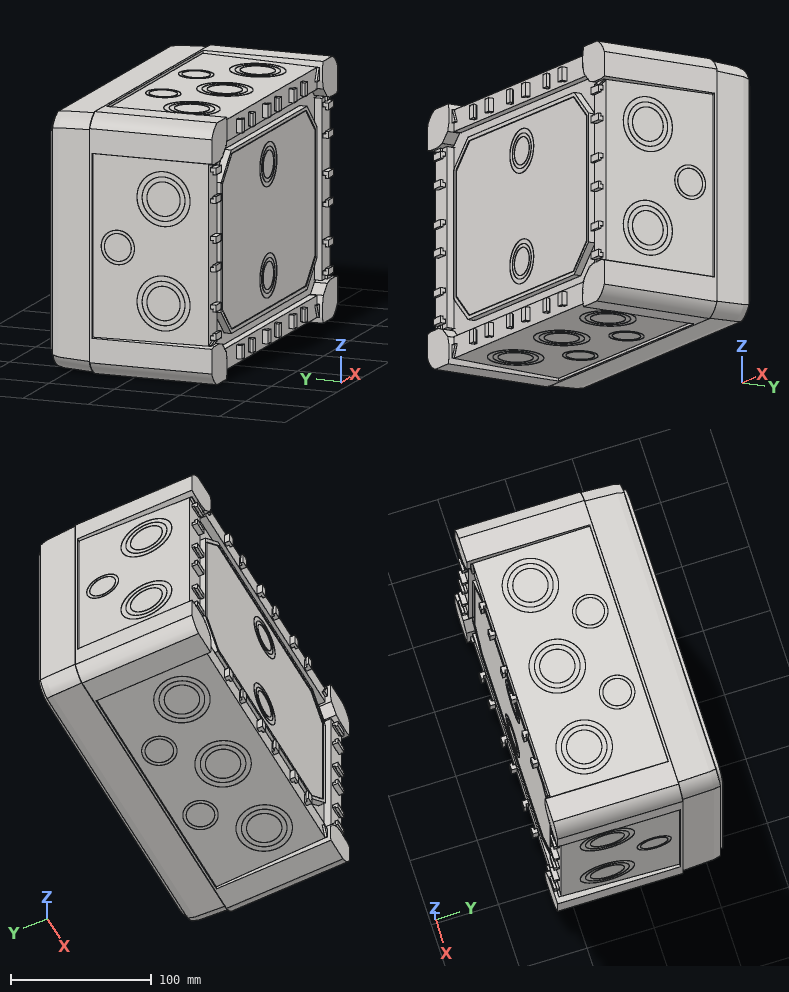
import cadquery as cq


LENGTH = 241.5
HEIGHT = 191.0
DEPTH = 125.5
HALF_LENGTH = LENGTH / 2
HALF_HEIGHT = HEIGHT / 2
CORNER_SIZE = 10.1
CORNER_INSET = 4.0

PANEL_BASE_Y = 4.0
FLOOR_Y = 10.0
PANEL_TOP_Y = 91.5
SEAM_Y = 93.5
LID_EDGE_Y = 117.5
LID_SHOULDER_Y = 122.5

FOOT_HALF_GAP_X = 91.3
FOOT_HALF_GAP_Z = 66.5
FOOT_FACET_LENGTH = 15.2
FOOT_FACET_OFFSET = 1.7
PLATE_HALF_X = 92.0
PLATE_HALF_Z = 67.0
PLATE_CHAMFER = 19.5
PLATE_RISE = 5.5
PLATE_RIM = 3.0
PLATE_POCKET = 0.7

PANEL_INNER_DEPTH = 20.3
PANEL_TOP_RECESS = 2.0
PANEL_BASE_RECESS = 4.3
PANEL_FLARE = 1.0
END_WEDGE_RISE = 1.7
END_WEDGE_LENGTH = 9.7
END_WEDGE_NARROW = 0.5
LONG_END_WEDGE_WIDE = 4.5
SHORT_END_WEDGE_WIDE = 3.1

TAB_PAIR_PITCH = 50.0
TAB_PAIR_HALF_SPACING = 10.5
TAB_WIDTH = 5.0
TAB_LENGTH = 10.0
TAB_STEM = 3.1
TAB_FOOT = 2.2
TAB_INNER_GAP = 2.2

KNOCKOUT_RISE = 0.2
KNOCKOUT_ROOT = 0.5
KNOCKOUT_GROOVE = 0.2
LARGE_KNOCKOUT = (20.0, 16.2, 12.5)
BASE_KNOCKOUT = (16.2, 12.8, 10.1)
SMALL_KNOCKOUT = (12.5, 10.1, 0.0)
LARGE_KNOCKOUT_Y = 38.2
SMALL_KNOCKOUT_Y = 72.7
LONG_SIDE_PITCH = 63.0
SHORT_SIDE_PITCH = 76.0
BASE_KNOCKOUT_Z = 40.5

LID_SHIFT_X = -0.7
LID_HALF_X = 119.8
LID_HALF_Z = 94.7
LID_EDGE_INSET = 1.0
LID_SHOULDER_INSET = 2.0
LID_TOP_INSET = 5.3
LID_TOP_CORNER = 14.5

LONG_SITE = (HALF_HEIGHT, FOOT_HALF_GAP_X, (0, 180))
SHORT_SITE = (HALF_LENGTH, FOOT_HALF_GAP_Z, (90, 270))
PANEL_SITES = (LONG_SITE, SHORT_SITE)


def base_plane(y):
    """Plane across Y at level y: local axes are -X and +Z, and extrusion runs toward +Y."""
    return cq.Workplane(cq.Plane(origin=(0, y, 0), xDir=(-1, 0, 0), normal=(0, 1, 0)))


def box(x_range, y_range, z_range):
    sizes = [high - low for low, high in (x_range, y_range, z_range)]
    return cq.Workplane("XY").box(*sizes, centered=False).translate((x_range[0], y_range[0], z_range[0]))


def rounded_outline(plane, half_x, half_z):
    """Rectangle with a shallow arc across each corner."""
    flat_x, flat_z = half_x - CORNER_SIZE, half_z - CORNER_SIZE
    arc_x, arc_z = half_x - CORNER_INSET, half_z - CORNER_INSET
    return (
        plane.moveTo(-flat_x, -half_z)
        .lineTo(flat_x, -half_z).threePointArc((arc_x, -arc_z), (half_x, -flat_z))
        .lineTo(half_x, flat_z).threePointArc((arc_x, arc_z), (flat_x, half_z))
        .lineTo(-flat_x, half_z).threePointArc((-arc_x, arc_z), (-half_x, flat_z))
        .lineTo(-half_x, -flat_z).threePointArc((-arc_x, -arc_z), (-flat_x, -half_z))
        .close()
    )


def add_knockout(body, plane, radii):
    """Raised round pad with a ring groove, on a plane facing out of the body."""
    pad, groove_outer, groove_inner = radii
    face = cq.Workplane(plane)
    body = body.union(face.workplane(offset=-KNOCKOUT_ROOT).circle(pad).extrude(KNOCKOUT_ROOT + KNOCKOUT_RISE))
    groove = face.workplane(offset=KNOCKOUT_RISE - KNOCKOUT_GROOVE).circle(groove_outer)
    if groove_inner > 0:
        groove = groove.circle(groove_inner)
    return body.cut(groove.extrude(KNOCKOUT_GROOVE))


def turned(body, angle):
    """Turn a body made for the +Z side about the Y axis."""
    return body.rotate((0, 0, 0), (0, 1, 0), angle)


def make_opening(wall, half_width):
    """Panel opening in the +Z wall, open toward the base and flared outside the panel face."""
    inner_z = wall - PANEL_INNER_DEPTH
    face_z = wall - PANEL_BASE_RECESS
    mouth = half_width + PANEL_FLARE
    outline = [
        (-half_width, inner_z), (half_width, inner_z), (half_width, face_z),
        (mouth, wall), (-mouth, wall), (-half_width, face_z),
    ]
    return base_plane(0).polyline(outline).close().extrude(PANEL_TOP_Y)


def make_housing():
    body = rounded_outline(base_plane(0), HALF_LENGTH, HALF_HEIGHT).extrude(SEAM_Y)

    inner_x = HALF_LENGTH - PANEL_INNER_DEPTH
    inner_z = HALF_HEIGHT - PANEL_INNER_DEPTH
    foot = (
        base_plane(0)
        .polyline([
            (HALF_LENGTH, HALF_HEIGHT),
            (FOOT_HALF_GAP_X, HALF_HEIGHT),
            (FOOT_HALF_GAP_X, FOOT_HALF_GAP_Z + FOOT_FACET_LENGTH),
            (FOOT_HALF_GAP_X + FOOT_FACET_OFFSET, inner_z),
            (inner_x, FOOT_HALF_GAP_Z + FOOT_FACET_OFFSET),
            (FOOT_HALF_GAP_X + FOOT_FACET_LENGTH, FOOT_HALF_GAP_Z),
            (HALF_LENGTH, FOOT_HALF_GAP_Z),
        ])
        .close()
        .extrude(FLOOR_Y)
    )
    feet = foot.union(foot.mirror("YZ"))
    feet = feet.union(feet.mirror("XY"))
    recess = base_plane(0).rect(LENGTH, HEIGHT).extrude(FLOOR_Y).cut(feet)
    body = body.cut(recess)

    for wall, half_width, turns in PANEL_SITES:
        for angle in turns:
            body = body.cut(turned(make_opening(wall, half_width), angle))

    plate_y = FLOOR_Y - PLATE_RISE
    plate = base_plane(plate_y).rect(2 * PLATE_HALF_X, 2 * PLATE_HALF_Z).extrude(PLATE_RISE)
    plate = plate.edges("|Y").chamfer(PLATE_CHAMFER)
    rim_face = plate.faces("<Y")
    pocket = rim_face.wires().toPending().workplane().offset2D(-PLATE_RIM).extrude(-PLATE_POCKET, combine=False)
    body = body.union(plate.cut(pocket))
    for z in (-BASE_KNOCKOUT_Z, BASE_KNOCKOUT_Z):
        face = cq.Plane(origin=(0, plate_y + PLATE_POCKET, z), xDir=(1, 0, 0), normal=(0, -1, 0))
        body = add_knockout(body, face, BASE_KNOCKOUT)
    return body


def make_panel(site, wedge_wide, large_places, small_places):
    """Panel of one site, made for the +Z side and flared to fill its opening."""
    wall, half_width, _ = site
    inner_z = wall - PANEL_INNER_DEPTH
    base_z = wall - PANEL_BASE_RECESS
    top_z = wall - PANEL_TOP_RECESS
    section = (
        cq.Workplane("YZ", origin=(-HALF_LENGTH, 0, 0))
        .polyline([(PANEL_BASE_Y, inner_z), (PANEL_TOP_Y, inner_z), (PANEL_TOP_Y, top_z), (PANEL_BASE_Y, base_z)])
        .close()
        .extrude(LENGTH)
    )
    panel = section.intersect(make_opening(wall, half_width))

    wedge_z = base_z - END_WEDGE_LENGTH
    wedge = (
        cq.Workplane("XZ", origin=(0, PANEL_BASE_Y, 0))
        .polyline([
            (half_width, base_z),
            (half_width - END_WEDGE_NARROW, base_z),
            (half_width - wedge_wide, wedge_z),
            (half_width, wedge_z),
        ])
        .close()
        .extrude(END_WEDGE_RISE)
    )
    panel = panel.union(wedge).union(wedge.mirror("YZ"))

    tab_z = (inner_z + TAB_INNER_GAP, inner_z + TAB_INNER_GAP + TAB_LENGTH)
    for pair in (-1, 0, 1):
        for side in (-1, 1):
            outer = pair * TAB_PAIR_PITCH + side * (TAB_PAIR_HALF_SPACING + TAB_WIDTH / 2)
            stem = box(sorted((outer, outer - side * TAB_STEM)), (0, PANEL_BASE_Y), tab_z)
            foot = box(sorted((outer, outer - side * TAB_WIDTH)), (0, TAB_FOOT), tab_z)
            panel = panel.union(stem).union(foot)

    slope = (top_z - base_z) / (PANEL_TOP_Y - PANEL_BASE_Y)
    rows = ((large_places, LARGE_KNOCKOUT_Y, LARGE_KNOCKOUT), (small_places, SMALL_KNOCKOUT_Y, SMALL_KNOCKOUT))
    for places, y, radii in rows:
        z = base_z + slope * (y - PANEL_BASE_Y)
        for x in places:
            face = cq.Plane(origin=(x, y, z), xDir=(1, 0, 0), normal=(0, -slope, 1))
            panel = add_knockout(panel, face, radii)
    return panel


def make_long_panel():
    return make_panel(
        LONG_SITE, LONG_END_WEDGE_WIDE,
        (-LONG_SIDE_PITCH, 0, LONG_SIDE_PITCH), (-LONG_SIDE_PITCH / 2, LONG_SIDE_PITCH / 2),
    )


def make_short_panel():
    return make_panel(
        SHORT_SITE, SHORT_END_WEDGE_WIDE,
        (-SHORT_SIDE_PITCH / 2, SHORT_SIDE_PITCH / 2), (0,),
    )


def make_lid():
    def outline(y, inset):
        wire = rounded_outline(base_plane(y), LID_HALF_X - inset, LID_HALF_Z - inset).wire()
        return wire.val().translate(cq.Vector(LID_SHIFT_X, 0, 0))

    seam = outline(SEAM_Y, 0)
    edge = outline(LID_EDGE_Y, LID_EDGE_INSET)
    shoulder = outline(LID_SHOULDER_Y, LID_SHOULDER_INSET)
    skirt = cq.Workplane(cq.Solid.makeLoft([seam, edge, shoulder], True))

    top = (
        base_plane(LID_SHOULDER_Y)
        .rect(2 * (LID_HALF_X - LID_TOP_INSET), 2 * (LID_HALF_Z - LID_TOP_INSET))
        .extrude(DEPTH - LID_SHOULDER_Y)
        .edges("|Y")
        .fillet(LID_TOP_CORNER)
        .translate((LID_SHIFT_X, 0, 0))
    )
    return skirt.union(top)


housing = make_housing()
lid = make_lid()
long_panels = [turned(make_long_panel(), angle) for angle in LONG_SITE[-1]]
short_panels = [turned(make_short_panel(), angle) for angle in SHORT_SITE[-1]]

result = cq.Compound.makeCompound(
    [housing.val(), lid.val(), *[panel.val() for panel in long_panels + short_panels]]
)